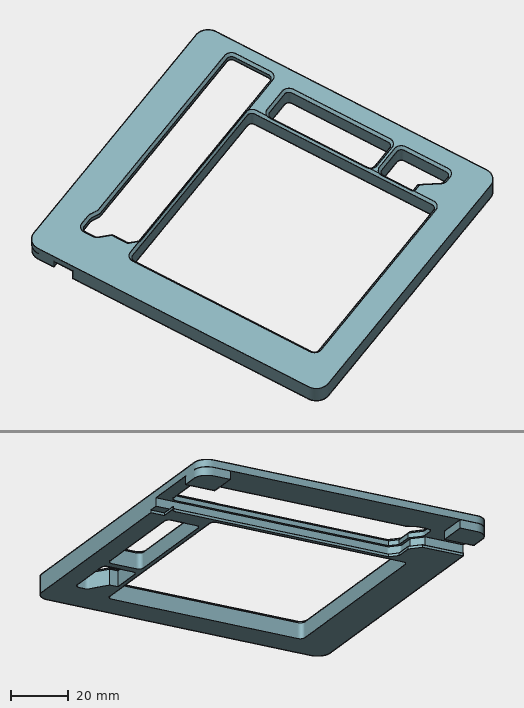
import cadquery as cq

LENGTH = 121.94
WIDTH = 113.75
HEIGHT = 7.0
CORNER_RADIUS = 5.0

BOTTOM_LAYER_TOP = 1.0
MIDDLE_LAYER_TOP = 4.2

FOOT_SIZE = 11.5
MIDDLE_INSET = 0.1
BODY_LEFT = 19.2

CHAMFER = 1.0
WINDOW_RADIUS = 1.8
WEB = 1.6

SQUARE_SIZE = 77.0
SQUARE_LEFT = 33.8
SQUARE_BOTTOM = 14.2
SQUARE_RIGHT = SQUARE_LEFT + SQUARE_SIZE
SQUARE_TOP = SQUARE_BOTTOM + SQUARE_SIZE

SMALL_BOTTOM = SQUARE_TOP + WEB
SMALL_TOP = 106.0
STRIP_LEFT = 39.6
STRIP_RIGHT = 83.1
HOOK_LEFT = 86.1
HOOK_RIGHT = 107.1
HOOK_STEP_X = 100.1
HOOK_STEP_Y = 96.0
HOOK_BEND_Y = 101.2

SLOT_LEFT = 14.3
SLOT_RIGHT = SQUARE_LEFT - WEB
SLOT_TOP = 108.3
SLOT_LAND_Y = 19.76
SLOT_LAND_LEFT = 22.9
SLOT_CORNER_CUT = 2.7
FLARE_LEFT = 12.75
FLARE_BOTTOM = 15.75
FLARE_START_Y = 21.8
FLARE_END_Y = 25.1
FLARE_BEND_RADIUS = 2.5

UNDERCUT = 1.0

NOTCH_RIGHT = 37.0
LIP_TIP_THICKNESS = 0.1


def box(x0, y0, z0, x1, y1, z1):
    """Box between two opposite corners."""
    return cq.Workplane("XY").box(x1 - x0, y1 - y0, z1 - z0, centered=False).translate((x0, y0, z0))


def plate_layer(left, bottom, top):
    """Rounded plate from the given left face to the right end."""
    return box(left, 0, bottom, LENGTH, WIDTH, top).edges("|Z").fillet(CORNER_RADIUS)


def rounded_prism(corners, height):
    """Prism over (x, y, radius) corners; a zero radius leaves the corner sharp."""
    prism = cq.Workplane("XY").polyline([(x, y) for x, y, _ in corners]).close().extrude(height)
    for x, y, radius in corners:
        if radius > 0:
            prism = prism.edges(cq.NearestToPointSelector((x, y, height / 2))).fillet(radius)
    return prism


def bottom_wire(prism):
    """Outline of a prism on its bottom face."""
    return prism.faces("<Z").wires().val()


def window_cutter(corners):
    """Through opening that widens at 45 degrees to the top face."""
    through = rounded_prism(corners, HEIGHT)
    flare = cq.Workplane("XY").add(bottom_wire(through)).toPending().extrude(CHAMFER, taper=-45)
    return through.union(flare.translate((0, 0, HEIGHT - CHAMFER)))


def rectangle_corners(left, bottom, right, top):
    """Corners of a rectangle with the common window radius."""
    return [(x, y, WINDOW_RADIUS) for x, y in ((left, bottom), (right, bottom), (right, top), (left, top))]


square = rectangle_corners(SQUARE_LEFT, SQUARE_BOTTOM, SQUARE_RIGHT, SQUARE_TOP)
strip = rectangle_corners(STRIP_LEFT, SMALL_BOTTOM, STRIP_RIGHT, SMALL_TOP)
hook = [
    (HOOK_LEFT, SMALL_BOTTOM, WINDOW_RADIUS),
    (HOOK_STEP_X, SMALL_BOTTOM, 0),
    (HOOK_STEP_X, HOOK_STEP_Y, 0),
    (HOOK_RIGHT, HOOK_BEND_Y, WINDOW_RADIUS),
    (HOOK_RIGHT, SMALL_TOP, WINDOW_RADIUS),
    (HOOK_LEFT, SMALL_TOP, WINDOW_RADIUS),
]
slot = [
    (FLARE_LEFT, FLARE_BOTTOM, WINDOW_RADIUS),
    (SLOT_LAND_LEFT - (SLOT_LAND_Y - FLARE_BOTTOM), FLARE_BOTTOM, WINDOW_RADIUS),
    (SLOT_LAND_LEFT, SLOT_LAND_Y, 0),
    (SLOT_RIGHT - SLOT_CORNER_CUT, SLOT_LAND_Y, 0),
    (SLOT_RIGHT, SLOT_LAND_Y + SLOT_CORNER_CUT, 0),
    (SLOT_RIGHT, SLOT_TOP, WINDOW_RADIUS),
    (SLOT_LEFT, SLOT_TOP, WINDOW_RADIUS),
    (SLOT_LEFT, FLARE_END_Y, FLARE_BEND_RADIUS),
    (FLARE_LEFT, FLARE_START_Y, FLARE_BEND_RADIUS),
]


def top_layer():
    """Full rounded plate."""
    return plate_layer(0, MIDDLE_LAYER_TOP, HEIGHT)


def middle_layer():
    """Two corner feet and a body, with the slot widened and run out through the back."""
    bottom, top = BOTTOM_LAYER_TOP, MIDDLE_LAYER_TOP
    layer = plate_layer(MIDDLE_INSET, bottom, top)
    back_foot_y = WIDTH - FOOT_SIZE
    layer = layer.cut(box(0, FOOT_SIZE, bottom, FOOT_SIZE, back_foot_y, top))
    layer = layer.cut(box(FOOT_SIZE, 0, bottom, BODY_LEFT + MIDDLE_INSET, WIDTH, top))
    wide_outline = bottom_wire(rounded_prism(slot, HEIGHT)).offset2D(UNDERCUT)[0]
    wide_slot = cq.Workplane("XY").add(wide_outline).toPending().extrude(top - bottom)
    layer = layer.cut(wide_slot.translate((0, 0, bottom)))
    return layer.cut(box(FOOT_SIZE, back_foot_y, bottom, SLOT_RIGHT + UNDERCUT, WIDTH, top))


def bottom_layer():
    """Body without feet, notched at the back left corner behind the slot."""
    top = BOTTOM_LAYER_TOP
    layer = plate_layer(0, 0, top).cut(box(0, 0, 0, BODY_LEFT, WIDTH, top))
    layer = layer.cut(box(0, SLOT_TOP + LIP_TIP_THICKNESS, 0, NOTCH_RIGHT, WIDTH, top))
    lip_tip_x = SLOT_RIGHT - WINDOW_RADIUS
    return layer.cut(box(0, SLOT_TOP - WINDOW_RADIUS, 0, lip_tip_x, WIDTH, top))


result = top_layer().union(middle_layer()).union(bottom_layer())
for window in (square, strip, hook, slot):
    result = result.cut(window_cutter(window))